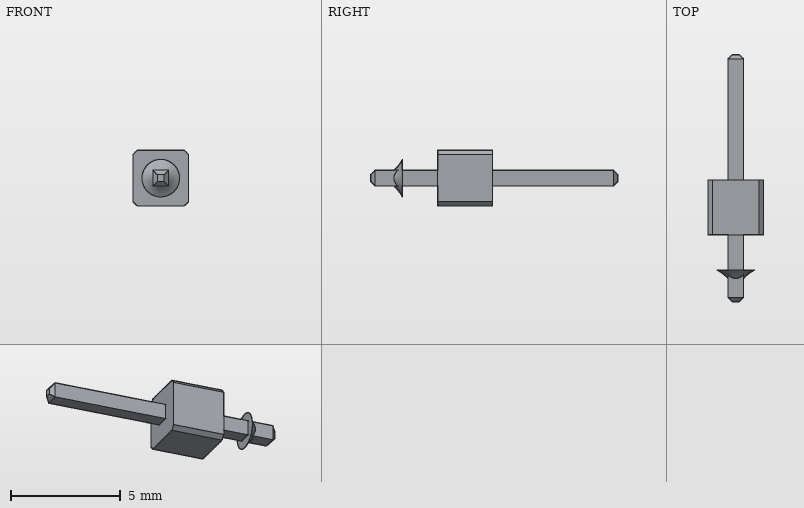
import cadquery as cq

pin_length = 11.25
pin_width = 0.72
tip_chamfer = 0.2

housing_width = 2.54
housing_length = 2.5
housing_chamfer = 0.2
housing_front = 3.05

solder_radius = 0.85
solder_tip_radius = pin_width / 2
solder_length = 0.38
solder_base = 1.44
solder_sag = 0.03


def square_bar(width, length, front):
    """Square bar centred on the Y axis, running from front towards +Y."""
    return cq.Workplane("XY").box(width, length, width).translate((0, front + length / 2, 0))


def make_pin():
    """Square pin with both ends chamfered all round."""
    return square_bar(pin_width, pin_length, 0).faces("<Y or >Y").chamfer(tip_chamfer)


def make_housing():
    """Block with chamfered long edges and a square passage for the pin."""
    block = square_bar(housing_width, housing_length, housing_front).edges("|Y").chamfer(housing_chamfer)
    return block.cut(square_bar(pin_width, pin_length, 0))


def make_solder():
    """Hollow-sided flare revolved about the pin axis, with a square passage for the pin."""
    tip = solder_base - solder_length
    radial_step = solder_radius - solder_tip_radius
    side_length = (radial_step**2 + solder_length**2) ** 0.5
    hollow_point = (
        (solder_radius + solder_tip_radius) / 2 - solder_sag * solder_length / side_length,
        (solder_base + tip) / 2 + solder_sag * radial_step / side_length,
    )
    flare = (
        cq.Workplane("XY")
        .moveTo(0, solder_base)
        .lineTo(solder_radius, solder_base)
        .threePointArc(hollow_point, (solder_tip_radius, tip))
        .lineTo(0, tip)
        .close()
        .revolve(360, (0, 0, 0), (0, 1, 0))
    )
    return flare.cut(square_bar(pin_width, pin_length, 0))


pin = make_pin()
housing = make_housing()
solder = make_solder()

result = cq.Compound.makeCompound([pin.val(), housing.val(), solder.val()])